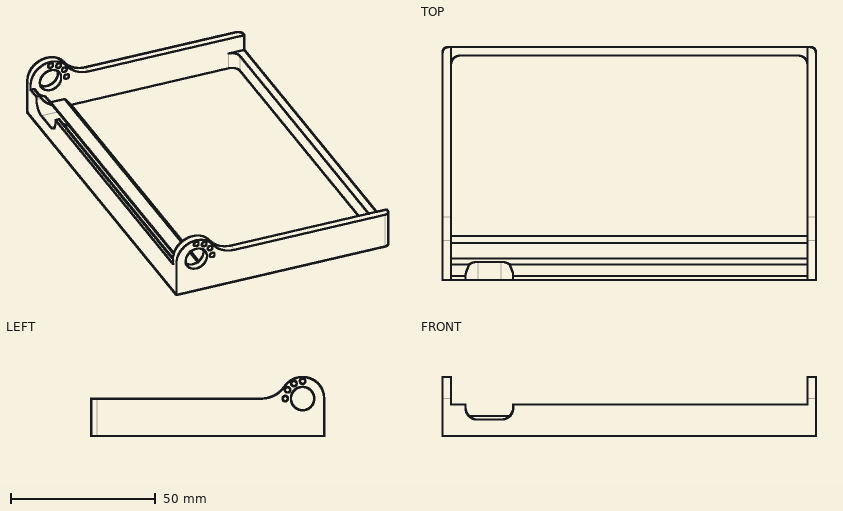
import cadquery as cq
import math

width = 129.0
depth = 80.5
wall = 3.0
floor_top = 1.0
back_wall_top = 7.0
side_wall_top = 13.0
corner_radius = 2.0
pocket_corner_radius = 3.0

ear_radius = 7.5
ear_y = ear_radius
ear_z = side_wall_top
ear_blend_radius = 10.0
pivot_diameter = 8.0
pin_diameter = 1.8
pin_circle_radius = 6.0
pin_angles = (90, 120, 150, 180)

front_wall_top = 11.0
clearance_radius = 6.4
clearance_end_y = 5.4
ledge_top = 4.0
ledge_front_y = ear_y
ledge_back_y = 12.8
ledge_foot_y = 15.2

notch_center_x = 16.2
notch_flat_width = 8.0
notch_corner_radius = 4.2
notch_floor = 5.7
notch_depth = ear_y

inner_width = width - 2 * wall

def make_base():
    """Floor and back wall, as a block with a pocket open toward the front."""
    block = cq.Workplane("XY").box(width, depth, back_wall_top, centered=False)
    block = block.edges("|Z and >Y").fillet(corner_radius)
    pocket = (
        cq.Workplane("XY")
        .box(inner_width, depth - wall, back_wall_top, centered=False)
        .edges("|Z and >Y")
        .fillet(pocket_corner_radius)
        .translate((wall, 0, floor_top))
    )
    return block.cut(pocket)

def make_side_wall(start_x):
    """Side wall whose top edge sweeps up into a round hinge ear."""
    centers_distance = ear_radius + ear_blend_radius
    blend_y = ear_y + math.sqrt(centers_distance**2 - ear_blend_radius**2)
    blend_z = side_wall_top + ear_blend_radius
    tangent_angle = math.atan2(blend_z - ear_z, blend_y - ear_y)
    tangent_point = (
        ear_y + ear_radius * math.cos(tangent_angle),
        ear_z + ear_radius * math.sin(tangent_angle),
    )
    blend_start_angle = -math.pi / 2
    blend_end_angle = tangent_angle - math.pi
    blend_mid_angle = (blend_start_angle + blend_end_angle) / 2
    blend_mid = (
        blend_y + ear_blend_radius * math.cos(blend_mid_angle),
        blend_z + ear_blend_radius * math.sin(blend_mid_angle),
    )
    outline = (
        cq.Workplane("YZ")
        .moveTo(0, 0)
        .lineTo(depth, 0)
        .lineTo(depth, side_wall_top)
        .lineTo(blend_y, side_wall_top)
        .threePointArc(blend_mid, tangent_point)
        .threePointArc((ear_y, ear_z + ear_radius), (ear_y - ear_radius, ear_z))
        .close()
    )
    side_wall = outline.extrude(wall).translate((start_x, 0, 0))
    outer_side = "<X" if start_x == 0 else ">X"
    return side_wall.edges("|Z and >Y").edges(outer_side).fillet(corner_radius)

def make_front_wall():
    """Front wall with the hinge clearance, sloping down to the ledge and then to the floor."""

    def clearance_y(z):
        return ear_y - math.sqrt(clearance_radius**2 - (ear_z - z) ** 2)

    def clearance_z(y):
        return ear_z - math.sqrt(clearance_radius**2 - (ear_y - y) ** 2)

    clearance_start_y = clearance_y(front_wall_top)
    clearance_end_z = clearance_z(clearance_end_y)
    clearance_mid_y = (clearance_start_y + clearance_end_y) / 2
    outline = (
        cq.Workplane("YZ")
        .moveTo(0, 0)
        .lineTo(0, front_wall_top)
        .lineTo(clearance_start_y, front_wall_top)
        .threePointArc(
            (clearance_mid_y, clearance_z(clearance_mid_y)),
            (clearance_end_y, clearance_end_z),
        )
        .lineTo(ledge_front_y, ledge_top)
        .lineTo(ledge_back_y, ledge_top)
        .lineTo(ledge_foot_y, floor_top)
        .lineTo(ledge_foot_y, 0)
        .close()
    )
    return outline.extrude(inner_width).translate((wall, 0, 0))

def make_notch():
    """Round-bottomed cutter for the finger notch."""
    notch_width = notch_flat_width + 2 * notch_corner_radius
    return (
        cq.Workplane("XY")
        .box(notch_width, notch_depth, side_wall_top, centered=(True, False, False))
        .edges("|Y and <Z")
        .fillet(notch_corner_radius)
        .translate((notch_center_x, 0, notch_floor))
    )

def make_ear_holes():
    """Pivot bore and the arc of pin holes, through both ears."""
    pin_centers = [
        (
            ear_y - pin_circle_radius * math.cos(math.radians(angle)),
            ear_z + pin_circle_radius * math.sin(math.radians(angle)),
        )
        for angle in pin_angles
    ]
    pivot = cq.Workplane("YZ").center(ear_y, ear_z).circle(pivot_diameter / 2).extrude(width)
    pins = cq.Workplane("YZ").pushPoints(pin_centers).circle(pin_diameter / 2).extrude(width)
    return pivot.union(pins)

result = make_base()
for wall_x in (0, width - wall):
    result = result.union(make_side_wall(wall_x))
result = result.union(make_front_wall())
result = result.cut(make_notch())
result = result.cut(make_ear_holes())